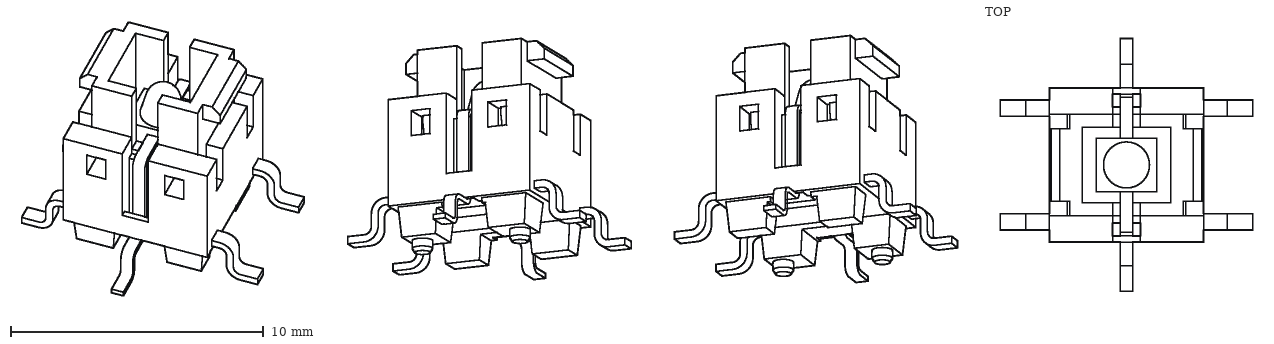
import cadquery as cq
import math


SPAN = 10.0
FIT_Y = 4.0
SLOT_WIDTH = 1.1

BLOCK_SIDE = 6.1
BLOCK_HEIGHT = 4.36
POCKET_X = 4.7
LEAD_SILL = 1.07
POCKET_FLOOR = LEAD_SILL
WELL_INNER = 2.3
WELL_OUTER = 2.8
LEDGE_HEIGHT = 3.49
TAB_WIDTH = 2.66
SIDE_SLOT_FLOOR = 2.68
WINDOW_WIDTH = 0.8
WINDOW_X = 1.65
WINDOW_BOTTOM = 2.78
WINDOW_TOP = 3.8

FOOT_HEIGHT = 1.22
FOOT_DRAFT = 5.0
FOOT_OUTER = 2.75
FOOT_INNER_LEFT = 0.98
FOOT_INNER_RIGHT = 1.08
FOOT_INNER_FRONT = 1.63
FOOT_INNER_BACK = 1.02
WEB_HEIGHT = 0.2
WEB_NOTCH_WIDTH = 1.72
PEG_DIAMETER = 0.82
PEG_LENGTH = 0.48
PEG_X = 2.1
PEG_Y = 1.82
PEG_TIP_HEIGHT = 0.16
PEG_TIP_INSET = 0.1

TERMINAL_WIDTH = 0.65
TERMINAL_THICKNESS = 0.3
TERMINAL_BEND = 0.3
TERMINAL_TOP = 0.5
TERMINAL_UPRIGHT = 3.98
TERMINAL_Y = 2.25

PLUNGER_X = 4.48
PLUNGER_TOP = 6.56
LAMP_SEAT_X = 3.48
LAMP_SEAT_Y = 2.98
LAMP_SEAT_FLOOR = 3.0
PLUNGER_SLOT_FLOOR = 3.73
HOOK_REACH = 2.98
HOOK_WIDTH = 2.88
HOOK_HEIGHT = 0.78
HOOK_CHAMFER = 0.34
CATCH_WIDTH = 0.5
CATCH_X = 1.68
CATCH_BOTTOM = 2.88
CATCH_SHOULDER = 3.49
CATCH_DEPTH = 0.17

LAMP_X = 2.4
LAMP_Y = 2.1
LAMP_TOP = 4.16
CONE_BASE_DIAMETER = 1.82
CONE_TOP = 5.03
DOME_RADIUS = 0.7
DOME_TOP = 5.57
LEAD_WIDTH = 0.51
LEAD_THICKNESS = 0.2
LEAD_BEND = 0.2
LEAD_TOP = 3.8
LEAD_DROP = 2.67
LEAD_UPRIGHT = 3.98
TAIL_BOTTOM = -1.32


def box(x_range, y_range, z_range):
    """Block between the given limits along each axis."""
    (x0, x1), (y0, y1), (z0, z1) = x_range, y_range, z_range
    return cq.Workplane("XY").box(x1 - x0, y1 - y0, z1 - z0, centered=False).translate((x0, y0, z0))


def centred_box(width, depth, bottom, top):
    """Block centred on the Z axis."""
    return box((-width / 2, width / 2), (-depth / 2, depth / 2), (bottom, top))


def block_about(x, y_range, width, z_range):
    """Block of the given width along X, centred at x."""
    return box((x - width / 2, x + width / 2), y_range, z_range)


def tapered_block(x_range, y_range, height):
    """Block hanging from Z = 0, narrowing downwards by the foot draft."""
    (x0, x1), (y0, y1) = x_range, y_range
    root = cq.Workplane("XY").center((x0 + x1) / 2, (y0 + y1) / 2).rect(x1 - x0, y1 - y0)
    return root.extrude(-height, taper=FOOT_DRAFT)


def prism(plane, outline, length):
    """Closed outline extruded to both sides of its plane."""
    return cq.Workplane(plane).polyline(outline).close().extrude(length / 2, both=True)


def bent_strip(start, corners, end, width, thickness):
    """Bent metal strip in the XZ plane, starting along X and centred on Y = 0.

    corners: (point, inside bend radius) where the straight runs of the centreline meet
    """
    stops = [start] + [point for point, _ in corners] + [end]
    path = cq.Workplane("XZ").moveTo(*start)
    for before, (corner, bend), after in zip(stops, corners, stops[2:]):
        here = cq.Vector(*corner)
        radius = bend + thickness / 2
        arc_start = here + (cq.Vector(*before) - here).normalized() * radius
        arc_end = here + (cq.Vector(*after) - here).normalized() * radius
        path = path.lineTo(arc_start.x, arc_start.y)
        path = path.tangentArcPoint((arc_end.x, arc_end.y), relative=False)
    path = path.lineTo(*end)
    section = cq.Workplane("YZ", origin=(start[0], 0, start[1])).rect(width, thickness)
    return section.sweep(path)



def housing_block():
    """Block with the plunger pocket, lead wells, slots and catch windows."""
    half = BLOCK_SIDE / 2
    block = centred_box(BLOCK_SIDE, BLOCK_SIDE, 0, BLOCK_HEIGHT)
    block = block.cut(centred_box(POCKET_X, FIT_Y, POCKET_FLOOR, BLOCK_HEIGHT))
    for x_range in ((-half, -POCKET_X / 2), (POCKET_X / 2, half)):
        for y_range in ((-FIT_Y / 2, -TAB_WIDTH / 2), (TAB_WIDTH / 2, FIT_Y / 2)):
            block = block.cut(box(x_range, y_range, (SIDE_SLOT_FLOOR, BLOCK_HEIGHT)))
    front = block_about(0, (-half, -FIT_Y / 2), SLOT_WIDTH, (LEDGE_HEIGHT, BLOCK_HEIGHT))
    front = front.union(block_about(0, (-half, -WELL_INNER), SLOT_WIDTH, (LEAD_SILL, BLOCK_HEIGHT)))
    front = front.union(block_about(0, (-WELL_OUTER, -WELL_INNER), SLOT_WIDTH, (0, BLOCK_HEIGHT)))
    for x in (-WINDOW_X, WINDOW_X):
        window = block_about(x, (-half, -FIT_Y / 2), WINDOW_WIDTH, (WINDOW_BOTTOM, WINDOW_TOP))
        front = front.union(window)
    return block.cut(front).cut(front.mirror("XZ"))


def feet():
    """Four tapered feet, with a low web joining each pair along X."""
    left = (-FOOT_OUTER, -FOOT_INNER_LEFT)
    right = (FOOT_INNER_RIGHT, FOOT_OUTER)
    front = (-FOOT_OUTER, -FOOT_INNER_FRONT)
    back = (FOOT_INNER_BACK, FOOT_OUTER)
    notch = centred_box(WEB_NOTCH_WIDTH, BLOCK_SIDE, -WEB_HEIGHT, 0)
    notch = notch.cut(centred_box(WEB_NOTCH_WIDTH, 2 * WELL_INNER, -WEB_HEIGHT, 0))
    all_feet = cq.Workplane("XY")
    for y_range in (front, back):
        web = tapered_block((left[0], right[1]), y_range, WEB_HEIGHT)
        all_feet = all_feet.union(web.cut(notch))
        for x_range in (left, right):
            all_feet = all_feet.union(tapered_block(x_range, y_range, FOOT_HEIGHT))
    return all_feet


def pegs():
    """Two locating pegs with coned tips under the back feet."""
    places = [(-PEG_X, PEG_Y), (PEG_X, PEG_Y)]
    peg = cq.Workplane("XY", origin=(0, 0, -FOOT_HEIGHT)).pushPoints(places)
    peg = peg.circle(PEG_DIAMETER / 2).extrude(-PEG_LENGTH)
    return peg.faces("<Z").edges().chamfer(PEG_TIP_HEIGHT, PEG_TIP_INSET)


def terminal():
    """Gull-wing terminal on the +X side, centred on Y = 0."""
    top_run = TERMINAL_TOP - TERMINAL_THICKNESS / 2
    tail_run = -FOOT_HEIGHT + TERMINAL_THICKNESS / 2
    upright = TERMINAL_UPRIGHT - TERMINAL_THICKNESS / 2
    corners = [((upright, top_run), TERMINAL_BEND), ((upright, tail_run), TERMINAL_BEND)]
    return bent_strip((BLOCK_SIDE / 2, top_run), corners, (SPAN / 2, tail_run),
                      TERMINAL_WIDTH, TERMINAL_THICKNESS)


def make_housing():
    housing = housing_block().union(feet()).union(pegs())
    for y in (-TERMINAL_Y, TERMINAL_Y):
        right = terminal().translate((0, y, 0))
        housing = housing.union(right).union(right.mirror("YZ"))
    return housing



def hook():
    """Snap hook along the top edge of the +X side."""
    root = PLUNGER_X / 2
    bottom = PLUNGER_TOP - HOOK_HEIGHT
    outline = [
        (root, bottom),
        (HOOK_REACH, bottom),
        (HOOK_REACH, PLUNGER_TOP - HOOK_CHAMFER),
        (HOOK_REACH - HOOK_CHAMFER, PLUNGER_TOP),
        (root, PLUNGER_TOP),
    ]
    return prism("XZ", outline, HOOK_WIDTH)


def catch():
    """Wedge on the +Y face that stops under the top edge of a window."""
    face = FIT_Y / 2
    outline = [
        (face, CATCH_BOTTOM),
        (face + CATCH_DEPTH, CATCH_SHOULDER),
        (face + CATCH_DEPTH, WINDOW_TOP),
        (face, WINDOW_TOP),
    ]
    return prism("YZ", outline, CATCH_WIDTH)


def make_plunger():
    plunger = centred_box(PLUNGER_X, FIT_Y, POCKET_FLOOR, PLUNGER_TOP)
    plunger = plunger.cut(centred_box(LAMP_SEAT_X, LAMP_SEAT_Y, LAMP_SEAT_FLOOR, PLUNGER_TOP))
    plunger = plunger.cut(centred_box(SLOT_WIDTH, FIT_Y, PLUNGER_SLOT_FLOOR, PLUNGER_TOP))
    plunger = plunger.cut(centred_box(LEAD_WIDTH, FIT_Y, LEAD_TOP - LEAD_THICKNESS, PLUNGER_TOP))
    plunger = plunger.union(hook()).union(hook().mirror("YZ"))
    for x in (-CATCH_X, CATCH_X):
        back = catch().translate((x, 0, 0))
        plunger = plunger.union(back).union(back.mirror("XZ"))
    return plunger



def lens():
    """Cone standing on the lamp base, closed by a spherical cap."""
    dome_centre = DOME_TOP - DOME_RADIUS
    rise = CONE_TOP - dome_centre
    cone_top_radius = math.sqrt(DOME_RADIUS**2 - rise**2)
    half_angle = math.acos(rise / DOME_RADIUS) / 2
    cap_middle = (DOME_RADIUS * math.sin(half_angle), dome_centre + DOME_RADIUS * math.cos(half_angle))
    profile = (
        cq.Workplane("XZ")
        .moveTo(0, LAMP_TOP)
        .lineTo(CONE_BASE_DIAMETER / 2, LAMP_TOP)
        .lineTo(cone_top_radius, CONE_TOP)
        .threePointArc(cap_middle, (0, DOME_TOP))
        .close()
    )
    return profile.revolve(360, (0, 0, 0), (0, 1, 0))


def lead():
    """Lead on the +Y side: over the plunger, down the well, under the wall and out to its tail."""
    half = LEAD_THICKNESS / 2
    top_run = LEAD_TOP - half
    drop = LEAD_DROP - half
    under_run = -half
    upright = LEAD_UPRIGHT - half
    tail_run = TAIL_BOTTOM + half
    foot_bend = WELL_OUTER - LEAD_DROP
    corners = [
        ((drop, top_run), LEAD_BEND),
        ((drop, under_run), foot_bend),
        ((upright, under_run), LEAD_BEND),
        ((upright, tail_run), LEAD_BEND),
    ]
    strip = bent_strip((LAMP_Y / 2, top_run), corners, (SPAN / 2, tail_run), LEAD_WIDTH, LEAD_THICKNESS)
    return strip.rotate((0, 0, 0), (0, 0, 1), 90)


def make_lamp():
    base = centred_box(LAMP_X, LAMP_Y, LAMP_SEAT_FLOOR, LAMP_TOP)
    return base.union(lens()).union(lead()).union(lead().mirror("XZ"))


housing = make_housing()
plunger = make_plunger()
lamp = make_lamp()

bodies = [housing, plunger, lamp]
result = cq.Compound.makeCompound([body.solids().val() for body in bodies])